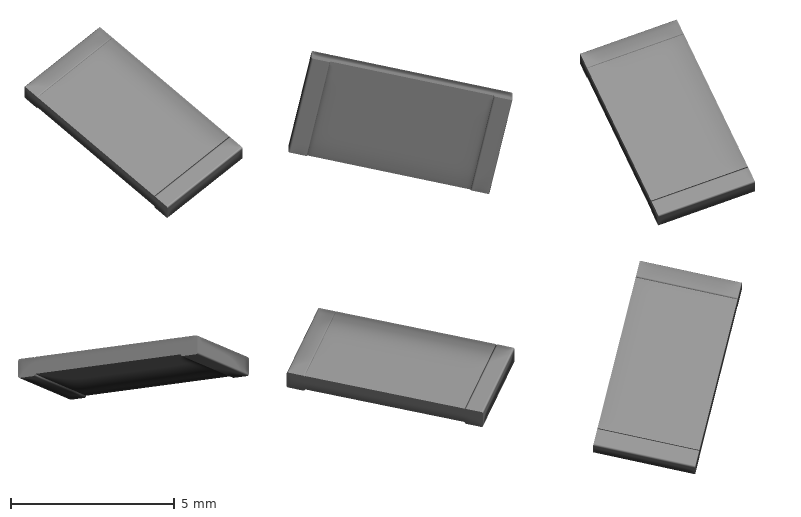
import cadquery as cq

length = 6.3
width = 3.2
height = 0.6

layer = 0.06
cap_reach = 0.585
edge_radius = 0.055

body_length = length - 2 * layer
body_height = height - 2 * layer
coating_length = length - 2 * cap_reach


def centered_box(x_size, z_size, z_center):
    """Full-width block centred on X and Y."""
    return cq.Workplane("XY").box(x_size, width, z_size).translate((0, 0, z_center))


def end_cap(side):
    """C-shaped cap around one end of the body; side is -1 or +1 along X."""
    center_x = side * (length - cap_reach) / 2
    cap = cq.Workplane("XY").box(cap_reach, width, height).translate((center_x, 0, 0))
    cap = cap.edges("|Y").fillet(edge_radius)
    return cap.cut(body)


body = centered_box(body_length, body_height, 0)

coating = centered_box(coating_length, layer, (height - layer) / 2)

result = body.union(coating, clean=False)
for side in (-1, 1):
    result = result.union(end_cap(side), clean=False)